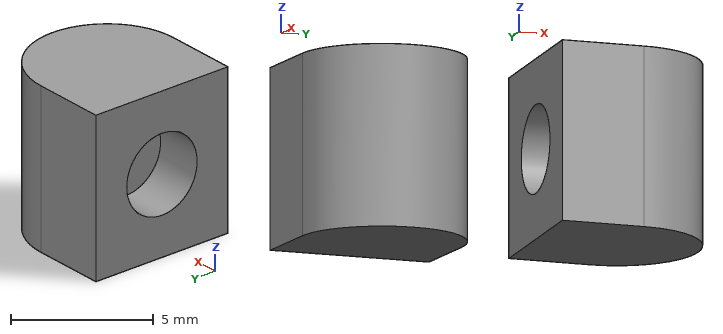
import cadquery as cq

height = 6.5
width = 6.0
nose_radius = width / 2
flat_length = nose_radius
hole_diameter = 3.2
hole_depth = 2.0


def make_body():
    """D-shaped prism with its flat face on the YZ plane."""
    return (
        cq.Workplane("XY")
        .moveTo(0, -nose_radius)
        .lineTo(flat_length, -nose_radius)
        .threePointArc((flat_length + nose_radius, 0), (flat_length, nose_radius))
        .lineTo(0, nose_radius)
        .close()
        .extrude(height)
    )


def make_hole():
    """Blind round hole running from the centre of the flat face along +X."""
    return (
        cq.Workplane("YZ")
        .center(0, height / 2)
        .circle(hole_diameter / 2)
        .extrude(hole_depth)
    )


result = make_body().cut(make_hole())